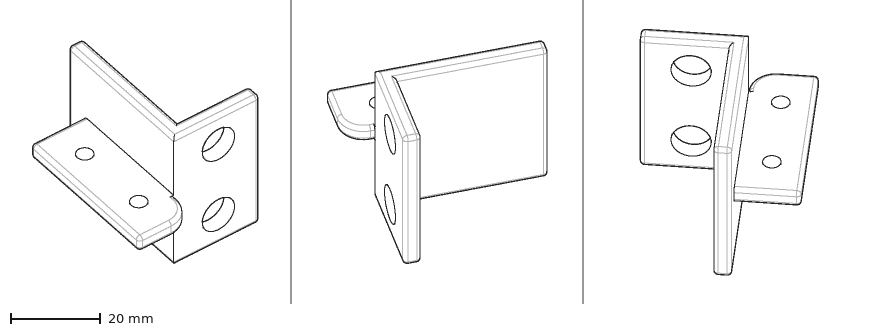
import cadquery as cq

thickness = 4.0
height = 38.0
base_length = 39.0
flange_depth = 24.0
tab_length = 40.0
tab_depth = 15.0
tab_offset = 6.0
tab_corner_radius = 6.0
edge_radius = 1.0

tab_hole_diameter = 4.13
tab_hole_spacing = 20.0
flange_hole_diameter = 9.0
flange_hole_spacing = 21.0
flange_hole_setback = 11.5

tab_end = tab_offset + tab_length
tab_middle = tab_offset + tab_length / 2
flange_hole_y = flange_depth - flange_hole_setback


def make_angle():
    """L-shaped angle, rounded on its rims and free ends; its two vertical corner edges stay sharp."""
    profile = [
        (0, 0),
        (base_length, 0),
        (base_length, flange_depth),
        (base_length - thickness, flange_depth),
        (base_length - thickness, thickness),
        (0, thickness),
    ]
    angle = cq.Workplane("XY").polyline(profile).close().extrude(height / 2, both=True)
    free_ends = angle.faces("<X or >Y").edges()
    rims = angle.faces("<Z or >Z").edges()
    return angle.newObject(free_ends.vals()).add(rims).fillet(edge_radius)


def make_tab():
    """Horizontal tab with one large rounded corner and rounded exposed edges."""
    overlap = thickness / 2
    tab = (
        cq.Workplane("XY")
        .moveTo(tab_offset, 0)
        .lineTo(tab_offset, -tab_depth)
        .lineTo(tab_end, -tab_depth)
        .lineTo(tab_end, -tab_corner_radius)
        .radiusArc((tab_end - tab_corner_radius, 0), -tab_corner_radius)
        .lineTo(base_length, 0)
        .lineTo(base_length, overlap)
        .lineTo(tab_offset, overlap)
        .close()
        .extrude(thickness / 2, both=True)
    )
    front_corners = tab.faces("<Y").edges("|Z")
    margin = edge_radius / 2
    exposed_zone = cq.selectors.BoxSelector(
        (tab_offset - margin, -tab_depth - margin, -thickness),
        (tab_end + margin, margin, thickness),
    )
    rims = tab.faces("<Z or >Z").edges(exposed_zone)
    return tab.newObject(front_corners.vals()).add(rims).fillet(edge_radius)


def cut_tab_holes(body):
    """Two vertical through holes, spaced evenly about the middle of the tab."""
    centers = [(tab_middle + side * tab_hole_spacing / 2, -tab_depth / 2) for side in (-1, 1)]
    holes = (
        cq.Workplane("XY")
        .pushPoints(centers)
        .circle(tab_hole_diameter / 2)
        .extrude(thickness, both=True)
    )
    return body.cut(holes)


def cut_flange_holes(body):
    """Two through holes along X in the flange, one above and one below the tab."""
    centers = [(flange_hole_y, side * flange_hole_spacing / 2) for side in (-1, 1)]
    holes = (
        cq.Workplane("YZ", origin=(base_length, 0, 0))
        .pushPoints(centers)
        .circle(flange_hole_diameter / 2)
        .extrude(thickness, both=True)
    )
    return body.cut(holes)


bracket = make_angle().union(make_tab())
result = cut_flange_holes(cut_tab_holes(bracket))